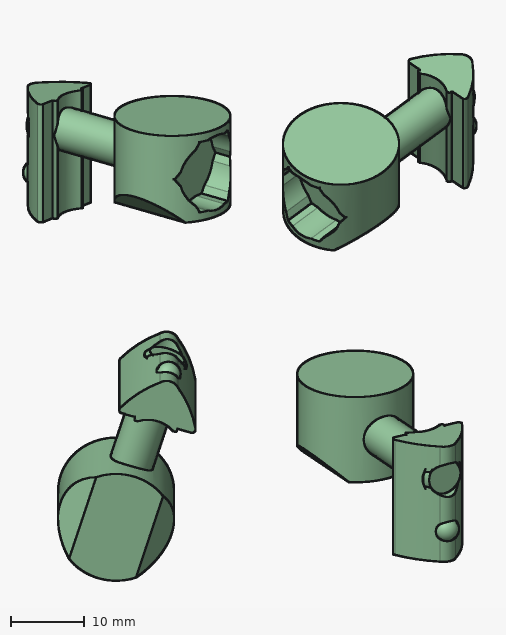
import cadquery as cq
import math


head_diameter = 15.7
head_radius = head_diameter / 2
head_height = 12.58
head_bevel = 3.13

socket_across_flats = 10.13
socket_bore_diameter = 10.7
socket_floor_x = 2.7

pin_diameter = 6.0
pin_radius = pin_diameter / 2
pin_tip_diameter = 4.9
pin_tip_x = -23.6
pin_taper_length = 0.67
pin_inner_end_x = 0

block_top_z = 5.0
block_height = 17.0
nose_x = -24.95
nose_end_x = -24.42
nose_half_width = 1.25
flank_mid_x = -21.1
flank_mid_y = 4.27
flank_end_x = -19.35
flank_end_y = 5.28
wing_back_x = -18.57
wing_tip_y = 5.35
wing_corner = 0.35
lip_x = -18.05
lip_corner = 0.25
hollow_half_width = 2.5
hollow_floor_x = -18.87

nub_radius = 1.68
overall_length = 33.65
nub_tip_x = head_radius - overall_length
nub_z = -7.55


def x_cylinder(diameter, start_x, end_x):
    """Round bar along the pin axis."""
    return cq.Workplane("YZ", origin=(start_x, 0, 0)).circle(diameter / 2).extrude(end_x - start_x)


def make_pin():
    """Round pin with a tapered tip, turned about the X axis."""
    return (
        cq.Workplane("XY")
        .moveTo(pin_tip_x, 0)
        .lineTo(pin_tip_x, pin_tip_diameter / 2)
        .lineTo(pin_tip_x + pin_taper_length, pin_radius)
        .lineTo(pin_inner_end_x, pin_radius)
        .lineTo(pin_inner_end_x, 0)
        .close()
        .revolve(360, (0, 0, 0), (1, 0, 0))
    )


def cut_socket(body):
    """Cut the hexagon and the round bore, with hexagon flats facing up and down."""
    corner_diameter = socket_across_flats / math.cos(math.pi / 6)
    depth = head_radius - socket_floor_x
    hexagon = cq.Workplane("YZ", origin=(socket_floor_x, 0, 0)).polygon(6, corner_diameter).extrude(depth)
    return body.cut(hexagon).cut(x_cylinder(socket_bore_diameter, socket_floor_x, head_radius))


def make_head(pin):
    bottom_z = -head_height / 2
    head = cq.Workplane("XY", origin=(0, 0, bottom_z)).circle(head_radius).extrude(head_height)
    for side in (-1, 1):
        bevel = (
            cq.Workplane("YZ")
            .polyline([
                (side * head_radius, bottom_z),
                (side * head_radius, bottom_z + head_bevel),
                (side * (head_radius - head_bevel), bottom_z),
            ])
            .close()
            .extrude(head_radius, both=True)
        )
        head = head.cut(bevel)
    return cut_socket(head).cut(pin)


def point_on_arc(center_x, radius, y):
    """Point at height y on the -X side of a circle centred on the pin axis."""
    return center_x - math.sqrt(radius ** 2 - y ** 2), y


def block_profile():
    """Arrow outline with rounded corners and a hollow back, mirrored across the pin axis."""
    lip_mid = lip_corner * (1 - math.sqrt(0.5))
    nose_radius = ((nose_end_x - nose_x) ** 2 + nose_half_width ** 2) / (2 * (nose_end_x - nose_x))
    nose_mid = point_on_arc(nose_x + nose_radius, nose_radius, nose_half_width / 2)
    hollow_depth = lip_x - hollow_floor_x
    hollow_radius = (hollow_depth ** 2 + hollow_half_width ** 2) / (2 * hollow_depth)
    hollow_mid = point_on_arc(hollow_floor_x + hollow_radius, hollow_radius, hollow_half_width / 2)
    return (
        cq.Workplane("XY", origin=(0, 0, block_top_z - block_height))
        .moveTo(nose_x, 0)
        .threePointArc(nose_mid, (nose_end_x, nose_half_width))
        .threePointArc((flank_mid_x, flank_mid_y), (flank_end_x, flank_end_y))
        .threePointArc((wing_back_x - wing_corner, wing_tip_y), (wing_back_x, wing_tip_y - wing_corner))
        .lineTo(wing_back_x, pin_radius)
        .lineTo(lip_x - lip_corner, pin_radius)
        .threePointArc((lip_x - lip_mid, pin_radius - lip_mid), (lip_x, pin_radius - lip_corner))
        .lineTo(lip_x, hollow_half_width)
        .threePointArc(hollow_mid, (hollow_floor_x, 0))
        .mirrorX()
    )


def make_block(pin):
    nub = cq.Workplane("XY", origin=(nub_tip_x + nub_radius, 0, nub_z)).sphere(nub_radius)
    nose_hole = x_cylinder(pin_tip_diameter, nose_x, pin_tip_x)
    return block_profile().extrude(block_height).union(nub).cut(nose_hole).cut(pin)


pin = make_pin()
head = make_head(pin)
block = make_block(pin)

result = cq.Compound.makeCompound([block.val(), pin.val(), head.val()])